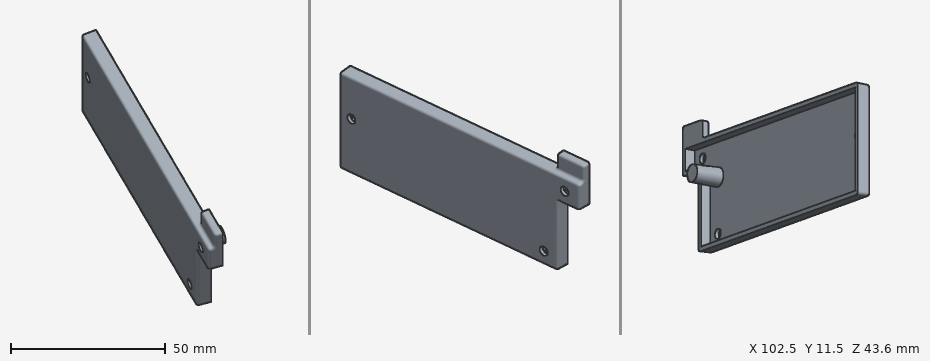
import cadquery as cq

length = 102.5
body_height = 37.4
notch_x = 93.3
notch_z = 27.0
plate_depth = 5.0

draft_angle = 2.0
edge_radius = 1.0
wall = 1.5

tab_width = 11.7
total_height = 43.6
tab_depth = 2.9

hole_diameter = 3.4
arm_hole = (96.2, 32.2)
left_hole = (5.3, 21.3)
lower_hole = (87.3, 5.3)

post_centre = (87.2, 24.1)
post_tip_diameter = 5.9
post_rise = 6.5
post_draft = 1.5


def plate_outline(inset):
    """L-shaped outline moved inward by inset on every side."""
    left, bottom = inset, inset
    right, top = length - inset, body_height - inset
    step_x, step_z = notch_x - inset, notch_z + inset
    points = [
        (left, bottom), (step_x, bottom), (step_x, step_z),
        (right, step_z), (right, top), (left, top),
    ]
    return cq.Workplane("XZ").polyline(points).close()


def make_plate():
    return plate_outline(0).extrude(plate_depth, taper=draft_angle)


def make_tab():
    """Solid tab, flush with the plate at the right end and at the back."""
    root = body_height - wall
    height = total_height - root
    return (
        cq.Workplane("XZ")
        .center(length - tab_width / 2, root + height / 2)
        .rect(tab_width, height)
        .extrude(tab_depth, taper=draft_angle)
    )


def make_cavity():
    """Pocket that leaves an even wall, open at the back."""
    return plate_outline(wall).extrude(plate_depth - wall, taper=draft_angle)


def make_post():
    """Round post, narrowest at its free end, sunk halfway into the floor."""
    root_depth = plate_depth - wall / 2
    return (
        cq.Workplane("XZ", origin=(0, post_rise, 0))
        .center(*post_centre)
        .circle(post_tip_diameter / 2)
        .extrude(post_rise + root_depth, taper=-post_draft)
    )


def make_holes():
    return (
        cq.Workplane("XZ")
        .pushPoints([arm_hole, left_hole, lower_hole])
        .circle(hole_diameter / 2)
        .extrude(plate_depth)
    )


body = make_plate().union(make_tab())
body = body.edges("not >Y").fillet(edge_radius)

result = body.cut(make_cavity()).union(make_post()).cut(make_holes())